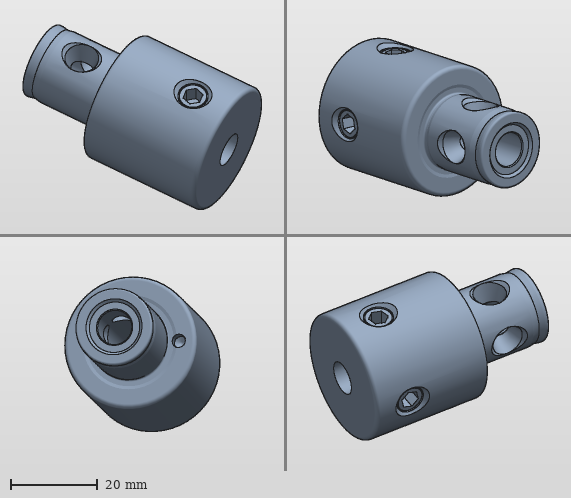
import cadquery as cq
import math

TOTAL_LENGTH = 50.0
HEAD_START = 20.0
HEAD_RADIUS = 31.0 / 2
HEAD_EDGE_RADIUS = 1.0

SPIGOT_RADIUS = 18.0 / 2
NECK_RADIUS = 17.6 / 2
GROOVE_RADIUS = 8.7
NOSE_FILLET = 0.5
GROOVE_START = 1.0
GROOVE_BOTTOM = 2.55
GROOVE_END = 4.25
NECK_TAPER_START = 18.55
NECK_START = 19.35

RECESS_RADIUS = 11.0
RECESS_FLOOR_RADIUS = 10.25
RECESS_DEPTH = 0.2
ROOT_FILLET = 0.4

BORE_RADIUS = 8.0 / 2
BORE_CHAMFER = 0.25
NOSE_RECESS_RADIUS = 6.55
NOSE_RECESS_FLOOR_RADIUS = 5.9
NOSE_RECESS_DEPTH = 0.65

SEAT_X = 10.65
SEAT_RADIUS = 3.9
SEAT_RIM_HEIGHT = math.sqrt(SPIGOT_RADIUS**2 - SEAT_RADIUS**2)
SEAT_HALF_ANGLE = math.radians(17.5)

SCREW_X = 40.4
SCREW_RADIUS = 6.9 / 2
SCREW_TOP = 14.3
SCREW_TIP = 3.2
SCREW_TOP_CHAMFER = 0.3
SCREW_TIP_CHAMFER = 0.45
COUNTERSINK_RADIUS = 4.5
SOCKET_ACROSS_FLATS = 4.0
SOCKET_DEPTH = 4.0
SOCKET_TURN = 12.0

DRILL_RADIUS = 3.1 / 2
DRILL_OFFSET = 11.35
DRILL_DEPTH = 3.0
DRILL_TIP_HALF_ANGLE = math.radians(59)

RADIAL_TURNS = (0, -90)


def revolve_about_x(outline):
    return outline.close().revolve(360, (0, 0, 0), (1, 0, 0))


def revolve_about_z(points):
    return cq.Workplane("XZ").polyline(points).close().revolve(360, (0, 0, 0), (0, 1, 0))


def place_radial(feature, x, turn):
    return feature.translate((x, 0, 0)).rotate((0, 0, 0), (1, 0, 0), turn)


def turned_blank():
    recess_floor = HEAD_START + RECESS_DEPTH
    corner = HEAD_EDGE_RADIUS * (1 - math.sqrt(0.5))
    nose_corner = NOSE_FILLET * (1 - math.sqrt(0.5))
    root_corner = ROOT_FILLET * (1 - math.sqrt(0.5))
    outline = (
        cq.Workplane("XY")
        .moveTo(0, 0)
        .lineTo(0, SPIGOT_RADIUS - NOSE_FILLET)
        .threePointArc((nose_corner, SPIGOT_RADIUS - nose_corner), (NOSE_FILLET, SPIGOT_RADIUS))
        .lineTo(GROOVE_START, SPIGOT_RADIUS)
        .lineTo(GROOVE_BOTTOM, GROOVE_RADIUS)
        .lineTo(GROOVE_END, SPIGOT_RADIUS)
        .lineTo(NECK_TAPER_START, SPIGOT_RADIUS)
        .lineTo(NECK_START, NECK_RADIUS)
        .lineTo(recess_floor - ROOT_FILLET, NECK_RADIUS)
        .threePointArc(
            (recess_floor - root_corner, NECK_RADIUS + root_corner),
            (recess_floor, NECK_RADIUS + ROOT_FILLET),
        )
        .lineTo(recess_floor, RECESS_FLOOR_RADIUS)
        .lineTo(HEAD_START, RECESS_RADIUS)
        .lineTo(HEAD_START, HEAD_RADIUS - HEAD_EDGE_RADIUS)
        .threePointArc(
            (HEAD_START + corner, HEAD_RADIUS - corner), (HEAD_START + HEAD_EDGE_RADIUS, HEAD_RADIUS)
        )
        .lineTo(TOTAL_LENGTH - HEAD_EDGE_RADIUS, HEAD_RADIUS)
        .threePointArc(
            (TOTAL_LENGTH - corner, HEAD_RADIUS - corner), (TOTAL_LENGTH, HEAD_RADIUS - HEAD_EDGE_RADIUS)
        )
        .lineTo(TOTAL_LENGTH, 0)
    )
    return revolve_about_x(outline)


def bore_cutter():
    outline = (
        cq.Workplane("XY")
        .moveTo(0, 0)
        .lineTo(0, NOSE_RECESS_RADIUS)
        .lineTo(NOSE_RECESS_DEPTH, NOSE_RECESS_FLOOR_RADIUS)
        .lineTo(NOSE_RECESS_DEPTH, BORE_RADIUS + BORE_CHAMFER)
        .lineTo(NOSE_RECESS_DEPTH + BORE_CHAMFER, BORE_RADIUS)
        .lineTo(TOTAL_LENGTH, BORE_RADIUS)
        .lineTo(TOTAL_LENGTH, 0)
    )
    return revolve_about_x(outline)


def seat_cutter():
    """Steep cone down to the axis, opening as a 45 degree cone above its rim."""
    bottom_radius = SEAT_RADIUS - SEAT_RIM_HEIGHT * math.tan(SEAT_HALF_ANGLE)
    flare = SPIGOT_RADIUS - SEAT_RIM_HEIGHT
    return revolve_about_z([
        (0, 0),
        (bottom_radius, 0),
        (SEAT_RADIUS, SEAT_RIM_HEIGHT),
        (SEAT_RADIUS + flare, SPIGOT_RADIUS),
        (0, SPIGOT_RADIUS),
    ])


def screw_hole_cutter():
    """Screw hole from the axis outward, with a 45 degree countersink."""
    countersink_depth = COUNTERSINK_RADIUS - SCREW_RADIUS
    return revolve_about_z([
        (0, 0),
        (SCREW_RADIUS, 0),
        (SCREW_RADIUS, HEAD_RADIUS - countersink_depth),
        (COUNTERSINK_RADIUS, HEAD_RADIUS),
        (0, HEAD_RADIUS),
    ])


def drill_cutter():
    tip_length = DRILL_RADIUS / math.tan(DRILL_TIP_HALF_ANGLE)
    hole_end = HEAD_START + DRILL_DEPTH
    outline = (
        cq.Workplane("XY")
        .moveTo(HEAD_START, 0)
        .lineTo(HEAD_START, DRILL_RADIUS)
        .lineTo(hole_end, DRILL_RADIUS)
        .lineTo(hole_end + tip_length, 0)
    )
    return revolve_about_x(outline).translate((0, -DRILL_OFFSET, 0))


def make_housing():
    housing = turned_blank().cut(bore_cutter()).cut(drill_cutter())
    for turn in RADIAL_TURNS:
        housing = housing.cut(place_radial(seat_cutter(), SEAT_X, turn))
        housing = housing.cut(place_radial(screw_hole_cutter(), SCREW_X, turn))
    return housing


def make_set_screw():
    """Set screw along Z with chamfered ends and a hexagon socket."""
    shank = revolve_about_z([
        (0, SCREW_TIP),
        (SCREW_RADIUS - SCREW_TIP_CHAMFER, SCREW_TIP),
        (SCREW_RADIUS, SCREW_TIP + SCREW_TIP_CHAMFER),
        (SCREW_RADIUS, SCREW_TOP - SCREW_TOP_CHAMFER),
        (SCREW_RADIUS - SCREW_TOP_CHAMFER, SCREW_TOP),
        (0, SCREW_TOP),
    ])
    socket = (
        cq.Workplane("XY", origin=(0, 0, SCREW_TOP - SOCKET_DEPTH))
        .polygon(6, SOCKET_ACROSS_FLATS, circumscribed=True)
        .extrude(SOCKET_DEPTH)
        .rotate((0, 0, 0), (0, 0, 1), SOCKET_TURN)
    )
    return shank.cut(socket)


housing = make_housing()
set_screws = [place_radial(make_set_screw(), SCREW_X, turn) for turn in RADIAL_TURNS]

result = cq.Compound.makeCompound([
    housing.solids().val(),
    *[screw.solids().val() for screw in set_screws],
])